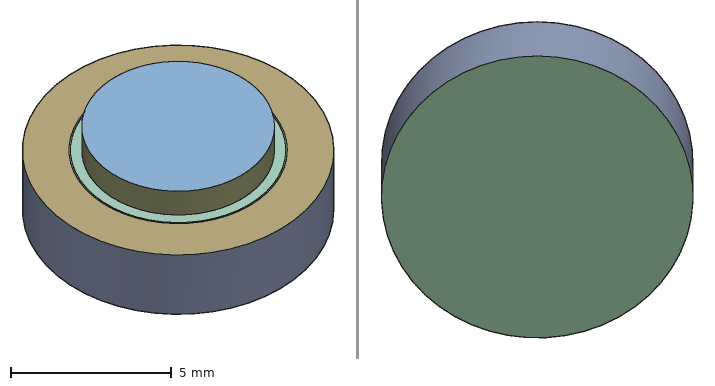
import cadquery as cq

disc_diameter = 9.7
disc_height = 2.5
cap_diameter = 6.0
cap_height = 1.0

ring_outer_diameter = 6.8
ring_inner_diameter = 6.7
ring_depth = 1.0


def make_ring():
    """Thin-walled ring whose top is level with the disc's top face."""
    return (
        cq.Workplane("XY", origin=(0, 0, disc_height - ring_depth))
        .circle(ring_outer_diameter / 2)
        .circle(ring_inner_diameter / 2)
        .extrude(ring_depth)
    )


def make_base(ring):
    """Stepped disc with a groove that matches the ring."""
    disc = cq.Workplane("XY").circle(disc_diameter / 2).extrude(disc_height)
    stepped = disc.faces(">Z").workplane().circle(cap_diameter / 2).extrude(cap_height)
    return stepped.cut(ring)


ring = make_ring()
base = make_base(ring)

result = cq.Compound.makeCompound([base.val(), ring.val()])